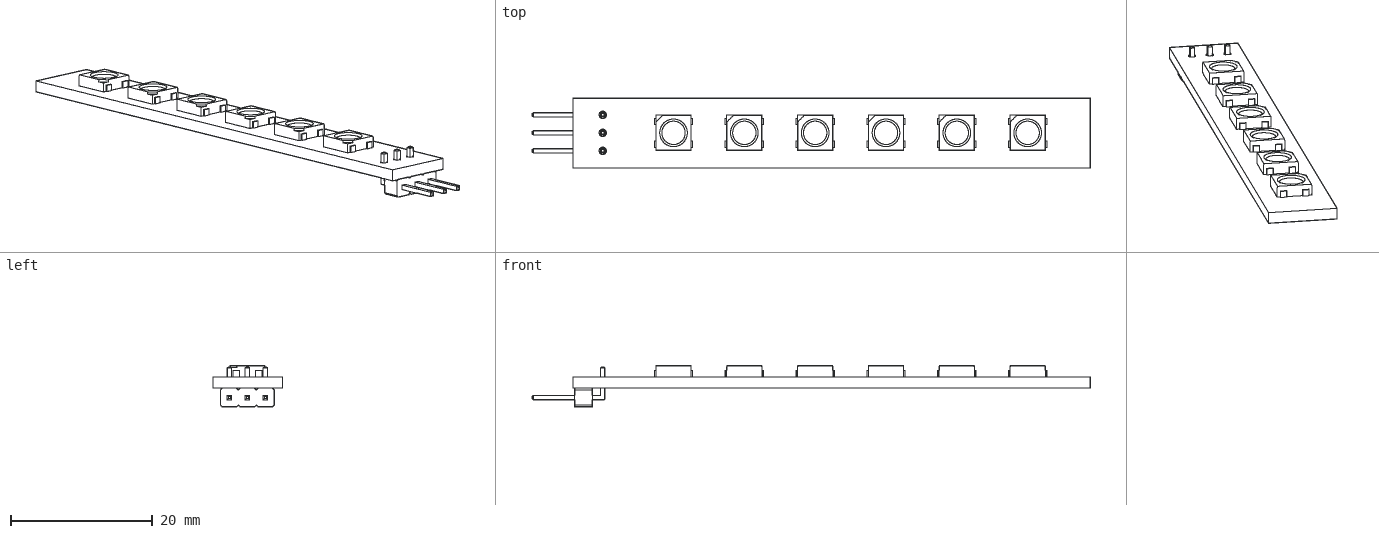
import cadquery as cq

total_length = 78.79
total_height = 5.84

pin_overhang = 5.75
board_length = total_length - pin_overhang
board_width = 9.87
board_thickness = 1.6

row_y = 0.05

led_count = 6
led_pitch = 10.0
first_led_x = 14.2
led_size = 5.0
led_height = 1.6
led_taper_height = 0.2
led_taper_inset = 0.06
corner_mark_size = 1.0
corner_mark_depth = 0.3
reflector_top_diameter = 3.9
reflector_floor_diameter = 3.3
reflector_depth = 0.3

lead_reach = 0.2
lead_width = 0.9
lead_spacing = 3.2
lead_height = 0.9

pin_count = 3
pin_pitch = 2.54
pin_size = 0.64
pin_tip_chamfer = 0.16
pin_bend_radius = 0.2
pin_top_z = 1.4
pin_hole_diameter = 1.0
pin_x = 4.2
header_start_x = 0.22
header_depth = 2.54
header_height = total_height - board_thickness - led_height
header_chamfer = 0.25
header_bottom_z = -board_thickness - header_height
pin_z = header_bottom_z + header_height / 2

pin_ys = [row_y + (i - (pin_count - 1) / 2) * pin_pitch for i in range(pin_count)]


def make_board():
    blank = (
        cq.Workplane("XY")
        .box(board_length, board_width, board_thickness, centered=(False, True, False))
        .translate((0, 0, -board_thickness))
    )
    holes = (
        cq.Workplane("XY")
        .pushPoints([(pin_x, y) for y in pin_ys])
        .circle(pin_hole_diameter / 2)
        .extrude(-board_thickness)
    )
    return blank.cut(holes)


def make_led(x):
    body = (
        cq.Workplane("XY")
        .box(led_size, led_size, led_height, centered=(True, True, False))
        .faces(">Z").edges().chamfer(led_taper_height, led_taper_inset)
    )

    reflector = (
        cq.Workplane("XY", origin=(0, 0, led_height))
        .circle(reflector_top_diameter / 2)
        .workplane(offset=-reflector_depth)
        .circle(reflector_floor_diameter / 2)
        .loft()
    )

    half = led_size / 2
    corner_mark = (
        cq.Workplane("XY", origin=(0, 0, led_height))
        .moveTo(-half, half)
        .line(corner_mark_size, 0)
        .line(-corner_mark_size, -corner_mark_size)
        .close()
        .extrude(-corner_mark_depth)
    )

    leads = (
        cq.Workplane("XY")
        .pushPoints([(0, -lead_spacing / 2), (0, lead_spacing / 2)])
        .rect(led_size + 2 * lead_reach, lead_width)
        .extrude(lead_height)
    )
    return body.union(leads).cut(reflector).cut(corner_mark).translate((x, row_y, 0))


def make_header_block(y):
    return (
        cq.Workplane("XY")
        .box(header_depth, pin_pitch, header_height, centered=(False, True, False))
        .edges("|X").chamfer(header_chamfer)
        .translate((header_start_x, y, header_bottom_z))
    )


def make_pin(y):
    half = pin_size / 2

    horizontal_length = pin_overhang + pin_x + half
    horizontal = (
        cq.Workplane("XY")
        .box(horizontal_length, pin_size, pin_size, centered=(False, True, True))
        .faces("<X").edges().chamfer(pin_tip_chamfer)
        .translate((-pin_overhang, y, pin_z))
    )

    vertical_height = pin_top_z - pin_z + half
    vertical = (
        cq.Workplane("XY")
        .box(pin_size, pin_size, vertical_height, centered=(True, True, False))
        .faces(">Z").edges().chamfer(pin_tip_chamfer)
        .translate((pin_x, y, pin_z - half))
    )

    return horizontal.union(vertical).edges("|Y and >X and <Z").fillet(pin_bend_radius)


def make_header():
    header = cq.Workplane("XY")
    for y in pin_ys:
        header = header.union(make_header_block(y)).union(make_pin(y))
    return header


board = make_board()
header = make_header()
leds = [make_led(first_led_x + i * led_pitch) for i in range(led_count)]

result = cq.Compound.makeCompound([board.val(), header.val(), *[led.val() for led in leds]])